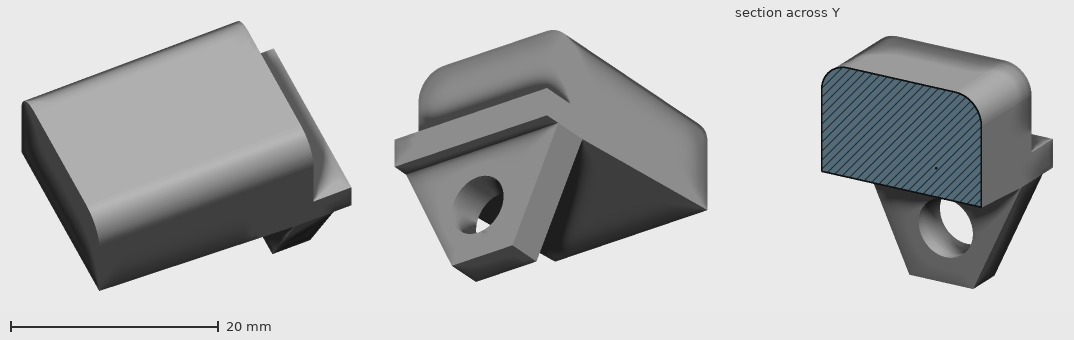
import cadquery as cq

width = 18.0
length = 26.7
height = 23.6
corner_radius = 3.0

ledge_depth = 4.0
ledge_thickness = 3.0
block_height = 11.9
front_height = 10.5

tab_setback = 1.9
tab_thickness = 4.0
tab_tip_width = 7.15

hole_diameter = 6.1
hole_offset = 0.5
hole_height = 5.71

tab_height = height - block_height
ledge_top = tab_height + ledge_thickness
front_bottom = height - front_height
tab_back = length - tab_setback
tab_front = tab_back - tab_thickness


def make_block():
    """Block with a rear ledge and an underside rising from the tab to the front."""
    side_profile = [
        (0, front_bottom),
        (tab_front, tab_height),
        (length, tab_height),
        (length, ledge_top),
        (length - ledge_depth, ledge_top),
        (length - ledge_depth, height),
        (0, height),
    ]
    block = cq.Workplane("YZ").polyline(side_profile).close().extrude(width / 2, both=True)
    top_side_edges = block.faces(">Z").edges("|Y")
    return top_side_edges.fillet(corner_radius)


def make_tab():
    """Tapered tab below the block, pierced by one hole."""
    outline = [
        (-width / 2, tab_height),
        (width / 2, tab_height),
        (tab_tip_width / 2, 0),
        (-tab_tip_width / 2, 0),
    ]
    back_plane = cq.Workplane("XZ", origin=(0, tab_back, 0))
    tab = back_plane.polyline(outline).close().extrude(tab_thickness)
    hole = back_plane.center(hole_offset, hole_height).circle(hole_diameter / 2).extrude(tab_thickness)
    return tab.cut(hole)


result = make_block().union(make_tab())